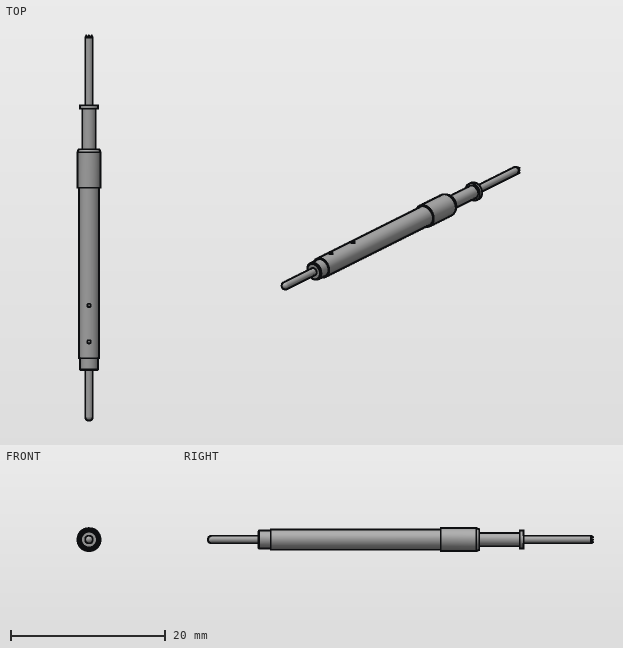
import cadquery as cq
import math

TOTAL_LENGTH = 49.8
PIN_DIA = 1.0
NOSE_DOME_HEIGHT = 0.45

BUSH_START = 6.5
BUSH_DIA = 2.35
BUSH_CHAMFER = 0.15
BODY_START = 8.1
BODY_DIA = 2.65
COLLAR_START = 30.1
COLLAR_END = 35.1
COLLAR_DIA = 3.0
COLLAR_CHAMFER_LENGTH = 0.4
COLLAR_CHAMFER_DEPTH = 0.15

SHAFT_DIA = 1.75
FLANGE_START = 40.3
FLANGE_WIDTH = 0.5
FLANGE_DIA = 2.35

CROWN_POINTS_ACROSS = 3
CROWN_PITCH = PIN_DIA / CROWN_POINTS_ACROSS
CROWN_DEPTH = 0.3

DIMPLE_STATIONS = (10.2, 14.9)
DIMPLE_DIA = 0.45
DIMPLE_DEPTH = 0.2


def turned_section(start, end, diameter):
    """Cylinder on the Y axis between two stations."""
    plane = cq.Workplane("XZ", origin=(0, start, 0))
    return plane.circle(diameter / 2).extrude(start - end)


def nose_pin():
    """Front pin with a domed contact end."""
    radius = PIN_DIA / 2
    sphere_radius = (radius**2 + NOSE_DOME_HEIGHT**2) / (2 * NOSE_DOME_HEIGHT)
    mid_x = radius / 2
    mid_y = sphere_radius - math.sqrt(sphere_radius**2 - mid_x**2)
    profile = (
        cq.Workplane("XY")
        .moveTo(0, 0)
        .threePointArc((mid_x, mid_y), (radius, NOSE_DOME_HEIGHT))
        .lineTo(radius, BODY_START)
        .lineTo(0, BODY_START)
        .close()
    )
    return profile.revolve(360, (0, 0, 0), (0, 1, 0))


def bush():
    """Front bush with a chamfered mouth."""
    return turned_section(BUSH_START, BODY_START, BUSH_DIA).faces("<Y").chamfer(BUSH_CHAMFER)


def collar():
    """Press-fit collar with a long shallow chamfer at its rear."""
    section = turned_section(COLLAR_START, COLLAR_END, COLLAR_DIA)
    radius = COLLAR_DIA / 2
    corner = (
        cq.Workplane("XY")
        .moveTo(radius, COLLAR_END)
        .lineTo(radius - COLLAR_CHAMFER_DEPTH, COLLAR_END)
        .lineTo(radius, COLLAR_END - COLLAR_CHAMFER_LENGTH)
        .close()
        .revolve(360, (0, 0, 0), (0, 1, 0))
    )
    return section.cut(corner)


def crown_groove(offset, angle):
    """V groove across the tail end, offset from the axis and then turned about it."""
    groove = (
        cq.Workplane("XY")
        .moveTo(offset - CROWN_PITCH / 2, TOTAL_LENGTH)
        .lineTo(offset + CROWN_PITCH / 2, TOTAL_LENGTH)
        .lineTo(offset, TOTAL_LENGTH - CROWN_DEPTH)
        .close()
        .extrude(PIN_DIA, both=True)
    )
    return groove.rotate((0, 0, 0), (0, 1, 0), angle)


def tail_pin():
    """Rear pin whose end is a crown of sharp points."""
    pin = turned_section(FLANGE_START + FLANGE_WIDTH, TOTAL_LENGTH, PIN_DIA)
    for angle in (0, 90):
        for index in range(CROWN_POINTS_ACROSS + 1):
            offset = index * CROWN_PITCH - PIN_DIA / 2
            pin = pin.cut(crown_groove(offset, angle))
    return pin


def dimple(station):
    """Shallow round recess on the top line of the body."""
    floor = BODY_DIA / 2 - DIMPLE_DEPTH
    plane = cq.Workplane("XY", origin=(0, station, floor))
    return plane.circle(DIMPLE_DIA / 2).extrude(2 * DIMPLE_DEPTH)


result = nose_pin()
result = result.union(bush())
result = result.union(turned_section(BODY_START, COLLAR_START, BODY_DIA))
result = result.union(collar())
result = result.union(turned_section(COLLAR_END, FLANGE_START, SHAFT_DIA))
result = result.union(turned_section(FLANGE_START, FLANGE_START + FLANGE_WIDTH, FLANGE_DIA))
result = result.union(tail_pin())
for dimple_station in DIMPLE_STATIONS:
    result = result.cut(dimple(dimple_station))